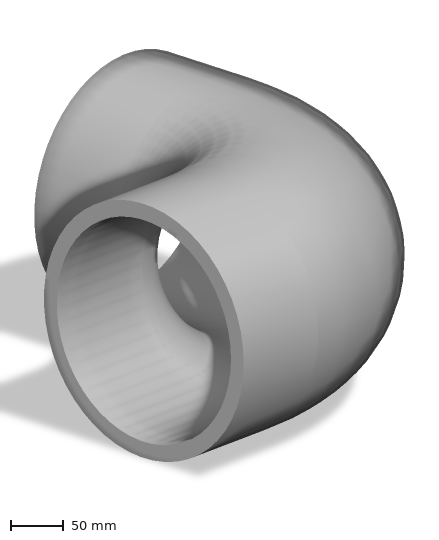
import cadquery as cq

overall_length = 416.0
outer_diameter = 258.0
bore_diameter = 225.0
outer_straight_length = 104.5
bore_straight_length = 120.0

leg_length = overall_length - outer_diameter / 2


def elbow_solid(diameter, straight_length):
    """Build a round bar along the elbow centreline: straight, quarter bend, straight.

    The centrelines of the legs meet at the origin; the ends face -X and -Y.
    """
    radius = diameter / 2
    bend_radius = leg_length - straight_length
    x_leg = (
        cq.Workplane("YZ", origin=(-leg_length, 0, 0))
        .circle(radius)
        .extrude(straight_length)
    )
    bend = (
        cq.Workplane("XZ", origin=(0, -bend_radius, 0))
        .circle(radius)
        .revolve(90, (-bend_radius, 0), (-bend_radius, 1))
    )
    y_leg = (
        cq.Workplane("XZ", origin=(0, -bend_radius, 0))
        .circle(radius)
        .extrude(straight_length)
    )
    return x_leg.union(bend).union(y_leg)


body = elbow_solid(outer_diameter, outer_straight_length)
bore = elbow_solid(bore_diameter, bore_straight_length)
result = body.cut(bore)